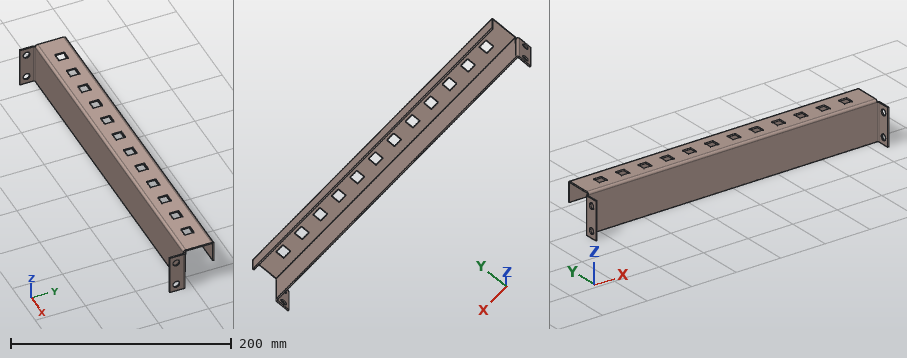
import cadquery as cq

length = 329
depth = 45.5
height = 42.5

thickness = 1.5
inner_radius = 1.0
outer_radius = inner_radius + thickness
rear_lip_height = 21.7
tab_depth = 16.0

square_count = 12
square_pitch = 25.0
square_size = 9.2
square_to_rear = 15.5

tab_hole_diameter = 6.5
tab_hole_pitch = 25.0
tab_hole_to_edge = 6.5

wall_inner_y = tab_depth
wall_outer_y = wall_inner_y - thickness
channel_length = length - 2 * outer_radius
tab_height = height - outer_radius


def channel():
    """Front wall, top and rear lip folded from one strip, with rounded bends."""
    outline = (
        cq.Workplane("YZ", origin=(-channel_length / 2, 0, 0))
        .moveTo(wall_outer_y, 0)
        .lineTo(wall_outer_y, height - outer_radius)
        .radiusArc((wall_outer_y + outer_radius, height), outer_radius)
        .lineTo(depth - outer_radius, height)
        .radiusArc((depth, height - outer_radius), outer_radius)
        .lineTo(depth, height - rear_lip_height)
        .lineTo(depth - thickness, height - rear_lip_height)
        .lineTo(depth - thickness, height - outer_radius)
        .radiusArc((depth - outer_radius, height - thickness), -inner_radius)
        .lineTo(wall_outer_y + outer_radius, height - thickness)
        .radiusArc((wall_inner_y + inner_radius, height - outer_radius), -inner_radius)
        .lineTo(wall_inner_y, 0)
        .close()
    )
    return outline.extrude(channel_length)


def right_tab():
    """End tab, folded forward from the right end of the front wall."""
    bend_x = channel_length / 2
    outer_x = length / 2
    inner_x = outer_x - thickness
    bend_y = wall_inner_y - outer_radius
    tab = (
        cq.Workplane("XY")
        .moveTo(bend_x, wall_inner_y)
        .radiusArc((outer_x, bend_y), outer_radius)
        .lineTo(outer_x, 0)
        .lineTo(inner_x, 0)
        .lineTo(inner_x, bend_y)
        .radiusArc((bend_x, wall_outer_y), -inner_radius)
        .close()
        .extrude(tab_height)
    )
    holes = (
        cq.Workplane("YZ", origin=(bend_x, tab_hole_to_edge, tab_height / 2))
        .rarray(3.3, tab_hole_pitch, 1, 2)
        .circle(tab_hole_diameter / 2)
        .extrude(outer_radius)
    )
    return tab.cut(holes)


def square_holes():
    """Row of square cutters through the top."""
    return (
        cq.Workplane("XY", origin=(0, depth - square_to_rear, height - thickness))
        .rarray(square_pitch, 3.3, square_count, 1)
        .rect(square_size, square_size)
        .extrude(thickness)
    )


tab = right_tab()
result = channel().union(tab).union(tab.mirror("YZ")).cut(square_holes())